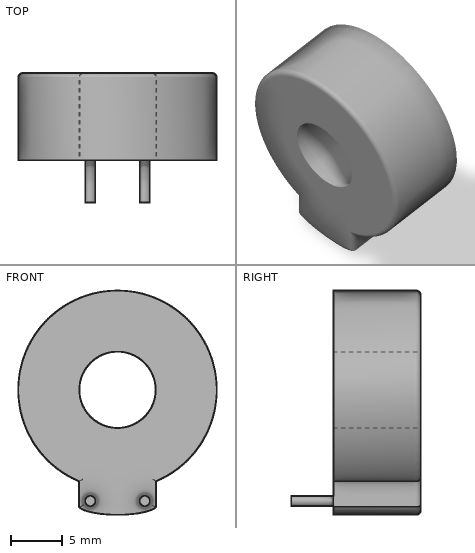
import cadquery as cq
import math

overall_height = 21.8
ring_diameter = 19.3
ring_radius = ring_diameter / 2
bore_diameter = 7.4
body_depth = 8.5
back_edge_radius = 0.5

foot_width = 7.5
foot_bottom = ring_radius - overall_height
underside_half_width = 3.85
underside_rise = 1.02

pin_diameter = 1.0
pin_length = 4.1
pin_spacing = 5.3
pin_drop = 10.8


def make_ring():
    return cq.Workplane("XZ").circle(ring_radius).extrude(-body_depth)


def make_foot():
    """Straight-sided foot reaching from the ring axis down to the elliptical underside."""
    half_width = foot_width / 2
    ellipse_center = foot_bottom + underside_rise
    side_angle = math.acos(half_width / underside_half_width)
    corner_z = ellipse_center - underside_rise * math.sin(side_angle)
    side_degrees = math.degrees(side_angle)
    return (
        cq.Workplane("XZ")
        .moveTo(half_width, 0)
        .lineTo(-half_width, 0)
        .lineTo(-half_width, corner_z)
        .ellipseArc(
            underside_half_width,
            underside_rise,
            180 + side_degrees,
            360 - side_degrees,
            startAtCurrent=True,
        )
        .close()
        .extrude(-body_depth)
    )


def make_pins():
    half_spacing = pin_spacing / 2
    return (
        cq.Workplane("XZ")
        .pushPoints([(-half_spacing, -pin_drop), (half_spacing, -pin_drop)])
        .circle(pin_diameter / 2)
        .extrude(pin_length)
    )


body = make_ring().union(make_foot())
body = body.faces(">Y").edges().fillet(back_edge_radius)

bore = cq.Workplane("XZ").circle(bore_diameter / 2).extrude(-body_depth)
result = body.cut(bore).union(make_pins())